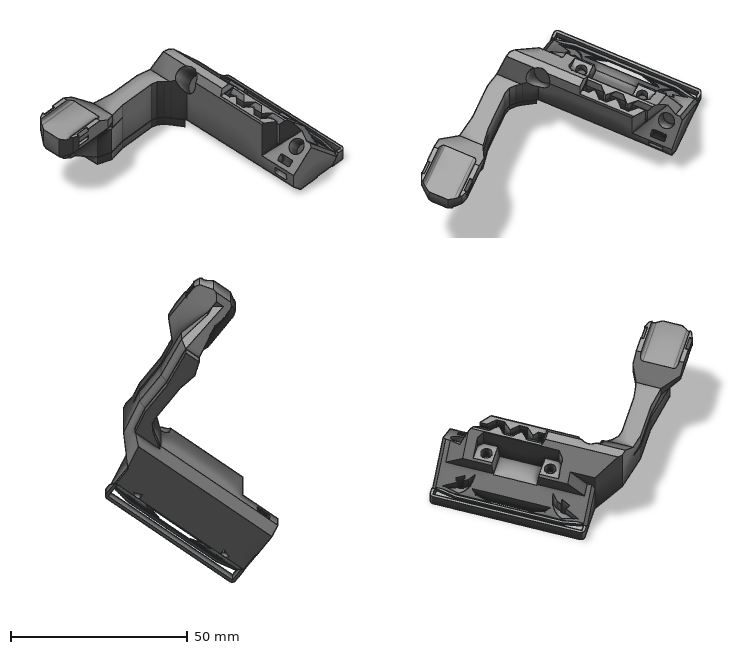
import cadquery as cq
import math

LENGTH_X = 59.9
LENGTH_Y = 65.6
HEIGHT = 21.05
FAR = 98.4
ROOT2 = math.sqrt(2)

BEAM_FRONT = 44.3
BEAM_BACK = 56.8
HOOD_LEFT = 14.1
ARM_BOTTOM = 2.8
ARM_TOP = 16.6
BASE_FRONT = BEAM_FRONT + ARM_BOTTOM
RIDGE_FRONT = 46.2
RIDGE_BACK = 48.95
BEAM_SLOPE = RIDGE_BACK + HEIGHT
HEAD_TOP = 20.9
HEAD_NECK = 20.3
HEAD_FLAT = 12.65
HEAD_NOSE = 13.05
ARM_END = 15.5

FLANK_SPLIT = 11.8
SKIRT_TOP = 4.85
NOSE_BEVEL_END = (8.3, 4.65, 10.0)
FLANK_FOOT_X = 5.8
GROOVE_X = 6.4
HEAD_UNDER_X = 11.1
HEAD_UNDER_Z = 13.1
FLANK_ANGLE = 40.0

CRADLE_LEFT = 1.4
CRADLE_RIGHT = 12.65
CRADLE_FLOOR = 19.75
CRADLE_RADIUS = 1.1
TIE_FRONT = 4.1
TIE_BACK = 8.0
TIE_LOW = 17.1
TIE_HIGH = 18.4
TIE_BEVEL = 0.85

FACE_ANGLE = 39.6
FACE_EDGE_Z = 7.2
FACE_LEFT = 47.5
FACE_PEAK = (54.6, 53.8)
SMALL_BORE = 4.7
SMALL_BORE_X = 55.65
SMALL_BORE_Y = 50.1
SMALL_BORE_DEPTH = 5.25
LARGE_BORE = 7.0
LARGE_BORE_X = 18.3
LARGE_BORE_FLOOR = (49.9, 12.0)

CHANNEL_LEFT = 52.6
CHANNEL_WIDTH = 4.45
CHANNEL_INNER = 1.3
CHANNEL_OUTER = 3.5
CHANNEL_RADIUS = 0.4

STEP_X = 30.4
STEP_RUN = 0.7
STEP_Z = 19.6
SLOT_LEFT = 31.35
SLOT_FLOOR = 10.8
SLOT_FRONT = 45.6
SLOT_BACK = 48.35
FLARE_BACK = 49.7
TOOTH_PITCH = 6.8
TOOTH_FIRST = 37.8
TOOTH_HEIGHT = 2.15
TOOTH_COUNT = 2
VALLEY_HALF = 1.2
LEFT_LEDGE = 0.65
PEAK_REAR = 47.4

HOOD_CENTER = (HOOD_LEFT + LENGTH_X) / 2
HOOD_SLOPE = 66.0
HOOD_START = 48.55
HOOD_END_LOW = 60.25
HOOD_END_HIGH = 62.7
LIP_TOP = 3.7
HOOD_BEVEL = 1.0
HOOD_BEVEL_DROP = 1.25
BASE_BEVEL = 0.3
SHOULDER_TOP_HALF = 15.55
SHOULDER_LOW_HALF = 20.55
SHOULDER_START = 54.3
LIP_Y = 63.9
LIP_DEPTH = 0.8
LIP_HALF = 15.75
LIP_END_HALF = 21.7
LIP_THICKNESS = 1.0
WINDOW_CORNERS = [(11.5, 60.8), (10.25, 61.9), (3.7, 63.05)]
CRESCENT_FLOOR = 2.95
CRESCENT_TIP = (17.05, 61.7)
CRESCENT_ARC = [(21.65, 62.4), (24.3, 60.95), (25.45, 57.9)]
CRESCENT_HEEL = (23.95, 59.2)
OPENING_ARC = [(20.2, 59.45), (21.4, 60.3), (22.65, 59.85)]
OPENING_HEEL = (22.65, 58.6)

SEAT_FLOOR = 13.8
SEAT_FRONT = 50.5
SEAT_HALF = 12.6
SEAT_CORNER = 1.45
SEAT_HOLE = 3.2
SEAT_HOLE_OFFSET = 9.45
SEAT_HOLE_Y = 53.6
SEAT_HOLE_DEPTH = 3.95
POCKET_HALF = 6.4
POCKET_MOUTH_HALF = 6.95
POCKET_BACK = 62.35
POCKET_FLOOR = 9.0

SUPPORT_GAP = 0.2
SUPPORT_BACK = 44.1
SUPPORT_BACK_LEFT = 9.1
SUPPORT_BACK_RIGHT = 17.9
RIM_WALL = 0.85
RIM_HEIGHT = 3.6
RIM_RADIUS = 1.2


def prism_z(points, low, high):
    """Plan outline (X, Y) extruded between two heights."""
    return cq.Workplane("XY").workplane(offset=low).polyline(points).close().extrude(high - low)


def prism_x(points, left, right):
    """Side outline (Y, Z) extruded between two X positions."""
    return cq.Workplane("YZ").workplane(offset=left).polyline(points).close().extrude(right - left)


def prism_y(points, front, back):
    """Front outline (X, Z) extruded between two Y positions."""
    plane = cq.Plane((0, front, 0), (1, 0, 0), (0, -1, 0))
    return cq.Workplane(plane).polyline(points).close().extrude(front - back)


def prism_slope(points):
    """Outline in X and (Y + Z), extruded along the 45 degree rear slope."""
    plane = cq.Plane((0, 0, 0), (1, 0, 0), (0, 1, -1))
    local = [(x, -total / ROOT2) for x, total in points]
    return cq.Workplane(plane).polyline(local).close().extrude(FAR, both=True)


def box(x0, x1, y0, y1, z0, z1):
    return cq.Workplane("XY").box(x1 - x0, y1 - y0, z1 - z0, centered=False).translate((x0, y0, z0))


def mirrored(points):
    """Mirror X about the centre of the hood, keeping the other coordinate."""
    return [(2 * HOOD_CENTER - x, other) for x, other in points]


BEAM_OUTLINE = [(7.9, 48.0), (HOOD_LEFT, SHOULDER_START), (HOOD_LEFT, BEAM_BACK),
                (LENGTH_X, BEAM_BACK), (LENGTH_X, BEAM_FRONT)]
ELBOW = [(18.4, BEAM_FRONT), (14.45, 41.9), (12.9, 40.8), (11.55, 39.25), (11.1, 37.4), (11.1, 25.4)]
HEAD = [(11.9, HEAD_NECK), (14.1, 16.1), (14.1, 4.1), (13.4, 2.2), (10.0, 0), (4.1, 0), (0.7, 2.2),
        (0, 4.1), (0, 16.1), (4.5, HEAD_NECK)]
ARM_LEFT = [(5.6, 27.05), (5.6, 37.35)]
LOWER_NOSE = [(12.1, 19.7), (10.5, ARM_END), (9.65, 7.0), (11.0, 3.75), (11.0, 0), (GROOVE_X, 0),
              (GROOVE_X, 5.65)]
LOWER_LEFT = [(3.55, 14.6)] + ARM_LEFT


def side_profile():
    points = [(BEAM_BACK, 0), (BASE_FRONT, 0), (BEAM_FRONT, ARM_BOTTOM), (ARM_END, ARM_BOTTOM),
              (0, HEAD_NOSE), (0, HEAD_TOP), (HEAD_FLAT, HEAD_TOP), (HEAD_NECK, ARM_TOP),
              (RIDGE_FRONT - HEIGHT + ARM_TOP, ARM_TOP), (RIDGE_FRONT, HEIGHT), (RIDGE_BACK, HEIGHT),
              (BEAM_BACK, BEAM_SLOPE - BEAM_BACK)]
    return prism_x(points, 0, LENGTH_X)


def lower_flank():
    """Lower arm and beam, with the left flank sloping inward towards the base."""
    outline = LOWER_NOSE + LOWER_LEFT + BEAM_OUTLINE + ELBOW
    corner_x, corner_y = BEAM_OUTLINE[0]
    flank_x, flank_y = ARM_LEFT[-1]
    run = (corner_x - flank_x) / (corner_y - flank_y)
    left = LOWER_LEFT + [(corner_x + run * (SHOULDER_START - corner_y), SHOULDER_START)]
    inset = [(x + SKIRT_TOP, y) for x, y in left]
    rest = BEAM_OUTLINE[2:] + ELBOW
    taper = (cq.Workplane("XY").polyline(LOWER_NOSE + inset + rest).close()
             .workplane(offset=SKIRT_TOP).polyline(LOWER_NOSE + left + rest).close().loft(ruled=True))
    body = taper.intersect(prism_z(outline, 0, SKIRT_TOP)).union(prism_z(outline, SKIRT_TOP, FLANK_SPLIT))
    return body.cut(nose_bevel())


def nose_bevel():
    """Continuation of the sloping flank along the left edge of the rising arm bottom."""
    start = cq.Vector(*LOWER_LEFT[0], SKIRT_TOP)
    along = cq.Vector(*NOSE_BEVEL_END) - start
    across = cq.Vector(FLANK_FOOT_X, ARM_END, ARM_BOTTOM) - start
    plane = cq.Plane(start, along, across.cross(along))
    return cq.Workplane(plane).rect(FAR, FAR).extrude(FAR).intersect(
        box(0, HEAD_UNDER_X, 0, ARM_LEFT[0][1], 0, FLANK_SPLIT))


def beam_and_arm():
    rise = math.tan(math.radians(FLANK_ANGLE))
    upper = prism_z(HEAD + ARM_LEFT + BEAM_OUTLINE + ELBOW, FLANK_SPLIT, HEIGHT)
    body = lower_flank().union(upper).intersect(side_profile())
    reach = GROOVE_X + 0.65
    left_groove = [(GROOVE_X, FLANK_SPLIT), (GROOVE_X - reach, FLANK_SPLIT + reach * rise),
                   (GROOVE_X - reach, FLANK_SPLIT - reach * rise)]
    reach = LENGTH_X - HEAD_UNDER_X
    right_under = [(HEAD_UNDER_X, FLANK_SPLIT), (HEAD_UNDER_X, HEAD_UNDER_Z),
                   (HEAD_UNDER_X + reach, HEAD_UNDER_Z + reach * rise), (LENGTH_X, FLANK_SPLIT)]
    return body.cut(prism_y(left_groove, -0.65, BEAM_FRONT)).cut(prism_y(right_under, -0.65, HEAD_NECK))


def cradle():
    channel = box(CRADLE_LEFT, CRADLE_RIGHT, -0.65, HEAD_NECK, CRADLE_FLOOR, HEIGHT + CRADLE_RADIUS)
    return channel.edges("|Y and <Z").fillet(CRADLE_RADIUS)


def head_tie_slot():
    """Slot through the head, with bevelled seats for the tie on both upper edges."""
    width = HEAD[1][0]
    slot = box(-0.65, width + 0.65, TIE_FRONT, TIE_BACK, TIE_LOW, TIE_HIGH)
    for edge, inward in ((0, 1), (width, -1)):
        bevel = [(edge, HEAD_TOP - TIE_BEVEL), (edge + inward * TIE_BEVEL, HEAD_TOP), (edge, HEAD_TOP)]
        slot = slot.union(prism_y(bevel, TIE_FRONT, TIE_BACK))
    return slot


def hood():
    """Wedge behind the beam whose end leans outward above the base."""
    points = [(HOOD_START, 0), (HOOD_END_LOW, 0), (HOOD_END_HIGH, HOOD_SLOPE - HOOD_END_HIGH),
              (HOOD_START, HOOD_SLOPE - HOOD_START)]
    body = prism_x(points, HOOD_LEFT, LENGTH_X)
    clear_left = box(HOOD_LEFT - 0.65, HOOD_CENTER, 0, SHOULDER_START, 0, FAR)
    return body.cut(clear_left)


def hood_edge_bevels():
    """Bevels along both sides of the hood, at its rear slope and at its base."""
    bevel = [(LENGTH_X - HOOD_BEVEL, HOOD_SLOPE), (LENGTH_X, HOOD_SLOPE - HOOD_BEVEL_DROP),
             (LENGTH_X + 0.65, HOOD_SLOPE - HOOD_BEVEL_DROP), (LENGTH_X + 0.65, HOOD_SLOPE + 0.65),
             (LENGTH_X - HOOD_BEVEL, HOOD_SLOPE + 0.65)]
    base_edge = [(LENGTH_X, 0), (LENGTH_X - BASE_BEVEL, 0), (LENGTH_X, BASE_BEVEL)]
    behind = box(HOOD_LEFT - 0.65, LENGTH_X + 0.65, SHOULDER_START, LENGTH_Y, 0, HEIGHT)
    bevels = prism_slope(bevel)
    for points in (base_edge, mirrored(base_edge)):
        bevels = bevels.union(prism_y(points, SHOULDER_START, LENGTH_Y))
    return bevels.union(prism_slope(mirrored(bevel)).intersect(behind))


def hood_lip():
    right = [(HOOD_CENTER + LIP_HALF, LIP_Y), (HOOD_CENTER + LIP_END_HALF, HOOD_END_HIGH)]
    outer = mirrored(right)[::-1] + right
    inner = [(x, y - LIP_DEPTH) for x, y in reversed(outer)]
    return prism_z(outer + inner, LIP_TOP - LIP_THICKNESS, LIP_TOP)


def hood_window():
    left = [(HOOD_CENTER - half, y) for half, y in WINDOW_CORNERS]
    return prism_z(left + mirrored(left)[::-1], -0.65, FAR)


def hood_side_cuts():
    """Crescent pocket and half-moon opening, on each side of the window."""
    arc_start, arc_middle, arc_end = CRESCENT_ARC
    pocket = (cq.Workplane("XY").workplane(offset=CRESCENT_FLOOR).moveTo(*CRESCENT_TIP).lineTo(*arc_start)
              .threePointArc(arc_middle, arc_end).lineTo(*CRESCENT_HEEL).close().extrude(FAR))
    arc_start, arc_middle, arc_end = OPENING_ARC
    opening = (cq.Workplane("XY").moveTo(*arc_start).threePointArc(arc_middle, arc_end)
               .lineTo(*OPENING_HEEL).close().extrude(FAR))
    left = pocket.union(opening)
    return left.union(left.mirror("YZ", (HOOD_CENTER, 0, 0)))


def shoulder_outline():
    """Cut beside the beam shoulder, whose side slopes from the beam's rear slope to the hood."""
    top = (HOOD_CENTER + SHOULDER_TOP_HALF, BEAM_SLOPE)
    low = (HOOD_CENTER + SHOULDER_LOW_HALF, HOOD_SLOPE)
    return [top, low, (LENGTH_X + 0.65, HOOD_SLOPE), (LENGTH_X + 0.65, BEAM_SLOPE + 0.65), (top[0], BEAM_SLOPE + 0.65)]


def clamp_face_cut():
    slope = math.tan(math.radians(FACE_ANGLE))
    run_x = FACE_PEAK[0] - FACE_LEFT
    run_y = FACE_PEAK[1] - BEAM_FRONT
    far_corner = (FACE_LEFT + 2 * run_x, BEAM_FRONT + 2 * run_y)
    corner = prism_z([(FACE_LEFT, BEAM_FRONT), far_corner, (far_corner[0], 0), (FACE_LEFT, 0)], 0, FAR)
    above = prism_x([(BEAM_FRONT, FACE_EDGE_Z), (LENGTH_Y, FACE_EDGE_Z + (LENGTH_Y - BEAM_FRONT) * slope),
                     (LENGTH_Y, FAR), (0, FAR), (0, FACE_EDGE_Z)], 0, FAR)
    return corner.intersect(above)


def bore(x, y, z, diameter):
    """Bore rising from a floor centre, square to the clamp face."""
    angle = math.radians(FACE_ANGLE)
    plane = cq.Plane((x, y, z), (1, 0, 0), (0, -math.sin(angle), math.cos(angle)))
    return cq.Workplane(plane).circle(diameter / 2).extrude(FAR)


def small_bore():
    angle = math.radians(FACE_ANGLE)
    mouth_z = FACE_EDGE_Z + (SMALL_BORE_Y - BEAM_FRONT) * math.tan(angle)
    floor_y = SMALL_BORE_Y + SMALL_BORE_DEPTH * math.sin(angle)
    floor_z = mouth_z - SMALL_BORE_DEPTH * math.cos(angle)
    return bore(SMALL_BORE_X, floor_y, floor_z, SMALL_BORE)


def tie_channel():
    """Ring-shaped channel that joins the front wall and the clamp face."""
    plane = cq.Workplane("YZ", origin=(CHANNEL_LEFT, BEAM_FRONT, FACE_EDGE_Z))
    ring = plane.circle(CHANNEL_OUTER).circle(CHANNEL_INNER).extrude(CHANNEL_WIDTH)
    return ring.faces("|X").edges().fillet(CHANNEL_RADIUS)


def top_step():
    points = [(STEP_X, HEIGHT), (STEP_X + STEP_RUN, STEP_Z), (LENGTH_X, STEP_Z), (LENGTH_X, HEIGHT)]
    return prism_y(points, BEAM_FRONT - 0.65, BEAM_BACK)


def tooth_slot():
    """Slot with a zigzag front wall and pointed teeth on its rear wall."""
    peak_y = SLOT_FRONT + TOOTH_HEIGHT
    ledge_y = SLOT_FRONT + LEFT_LEDGE
    half = SLOT_BACK - PEAK_REAR
    front = [(SLOT_LEFT, ledge_y), (TOOTH_FIRST - TOOTH_PITCH / 2 - VALLEY_HALF, ledge_y)]
    rear = [(SLOT_LEFT, SLOT_BACK)]
    for index in range(TOOTH_COUNT):
        valley = TOOTH_FIRST + index * TOOTH_PITCH
        front += [(valley - TOOTH_PITCH / 2, peak_y), (valley - VALLEY_HALF, SLOT_FRONT),
                  (valley + VALLEY_HALF, SLOT_FRONT)]
        rear += [(valley - half, SLOT_BACK), (valley, PEAK_REAR), (valley + half, SLOT_BACK)]
    front.append((TOOTH_FIRST + (TOOTH_COUNT - 0.5) * TOOTH_PITCH, peak_y))
    end = FACE_PEAK[0]
    slot = prism_z(front + [(end, peak_y), (end, SLOT_BACK)] + rear[::-1], SLOT_FLOOR, HEIGHT)
    return slot.union(slot_flare(end))


def slot_flare(end):
    """Sloping upper part of the slot's rear wall, interrupted by the rear teeth."""
    points = [(SLOT_BACK, STEP_Z - FLARE_BACK + SLOT_BACK), (FLARE_BACK, STEP_Z), (SLOT_BACK, STEP_Z)]
    flare = prism_x(points, SLOT_LEFT, end)
    half = FLARE_BACK - PEAK_REAR
    for index in range(TOOTH_COUNT):
        valley = TOOTH_FIRST + index * TOOTH_PITCH
        tooth = [(valley - half, FLARE_BACK), (valley, PEAK_REAR), (valley + half, FLARE_BACK)]
        flare = flare.cut(prism_z(tooth, 0, HEIGHT))
    return flare


def rear_pocket():
    """Deep middle pocket with a shallower screw seat on each side."""
    seats = box(HOOD_CENTER - SEAT_HALF, HOOD_CENTER + SEAT_HALF, SEAT_FRONT, LENGTH_Y, SEAT_FLOOR, FAR)
    seats = seats.edges("|Z and <Y").chamfer(SEAT_CORNER)
    right = [(HOOD_CENTER + POCKET_HALF, POCKET_FLOOR), (HOOD_CENTER + POCKET_MOUTH_HALF, SEAT_FLOOR)]
    pocket = seats.union(prism_y(mirrored(right)[::-1] + right, SEAT_FRONT, POCKET_BACK))
    for side in (-1, 1):
        origin = (HOOD_CENTER + side * SEAT_HOLE_OFFSET, SEAT_HOLE_Y, SEAT_FLOOR - SEAT_HOLE_DEPTH)
        hole = cq.Workplane("XY", origin=origin).circle(SEAT_HOLE / 2).extrude(SEAT_HOLE_DEPTH)
        pocket = pocket.union(hole)
    return pocket


def make_mount():
    body = beam_and_arm()
    body = body.cut(prism_slope(shoulder_outline()))
    behind = box(0, HOOD_CENTER, SHOULDER_START, LENGTH_Y, 0, HEIGHT)
    body = body.cut(prism_slope(mirrored(shoulder_outline())).intersect(behind))
    body = body.union(hood()).cut(hood_edge_bevels())
    body = body.cut(hood_window()).cut(hood_side_cuts()).union(hood_lip())
    body = body.cut(top_step()).cut(tooth_slot()).cut(rear_pocket())
    body = body.cut(clamp_face_cut()).cut(small_bore()).cut(tie_channel())
    body = body.cut(bore(LARGE_BORE_X, *LARGE_BORE_FLOOR, LARGE_BORE))
    return body.cut(cradle()).cut(head_tie_slot())


def make_arm_support():
    """Pad under the arm, held just clear of it."""
    inset = SKIRT_TOP - ARM_BOTTOM
    left = [(FLANK_FOOT_X, ARM_END)] + [(x + inset, y) for x, y in ARM_LEFT]
    back = [(SUPPORT_BACK_LEFT, SUPPORT_BACK), (SUPPORT_BACK_RIGHT, SUPPORT_BACK)]
    return prism_z(LOWER_NOSE[:2] + left + back + ELBOW[1:], 0, ARM_BOTTOM - SUPPORT_GAP)


def make_rim_support():
    """Thin U-shaped wall round the end of the hood, held just clear of it."""
    outer = box(HOOD_LEFT, LENGTH_X, HOOD_START, LENGTH_Y, 0, RIM_HEIGHT)
    outer = outer.edges("|Z and >Y").fillet(RIM_RADIUS)
    inner = box(HOOD_LEFT + RIM_WALL, LENGTH_X - RIM_WALL, 0, LENGTH_Y - RIM_WALL, 0, RIM_HEIGHT)
    lean = [(0, 0), (HOOD_END_LOW + SUPPORT_GAP, 0), (HOOD_END_HIGH + SUPPORT_GAP, RIM_HEIGHT),
            (0, RIM_HEIGHT)]
    return outer.cut(inner).cut(prism_x(lean, 0, LENGTH_X))


mount = make_mount()
arm_support = make_arm_support()
rim_support = make_rim_support()
result = cq.Compound.makeCompound([mount.val(), arm_support.val(), rim_support.val()])